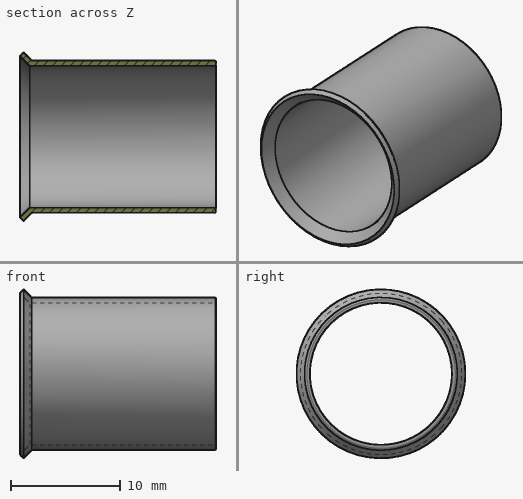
import cadquery as cq
import math

length = 18.0
flare_diameter = 15.5
tube_diameter = 14.0
wall = 0.5
end_rounding = 0.2

flare_radius = flare_diameter / 2
outer_radius = tube_diameter / 2
inner_radius = outer_radius - wall

rim_step = wall / math.sqrt(2)
mouth_radius = flare_radius - rim_step
inner_flare_end = mouth_radius - inner_radius
outer_flare_end = rim_step + flare_radius - outer_radius

wall_section = (
    cq.Workplane("XY")
    .moveTo(0, mouth_radius)
    .lineTo(rim_step, flare_radius)
    .lineTo(outer_flare_end, outer_radius)
    .lineTo(length - end_rounding, outer_radius)
    .radiusArc((length, outer_radius - end_rounding), end_rounding)
    .lineTo(length, inner_radius)
    .lineTo(inner_flare_end, inner_radius)
    .close()
)

result = wall_section.revolve(360, (0, 0, 0), (1, 0, 0))